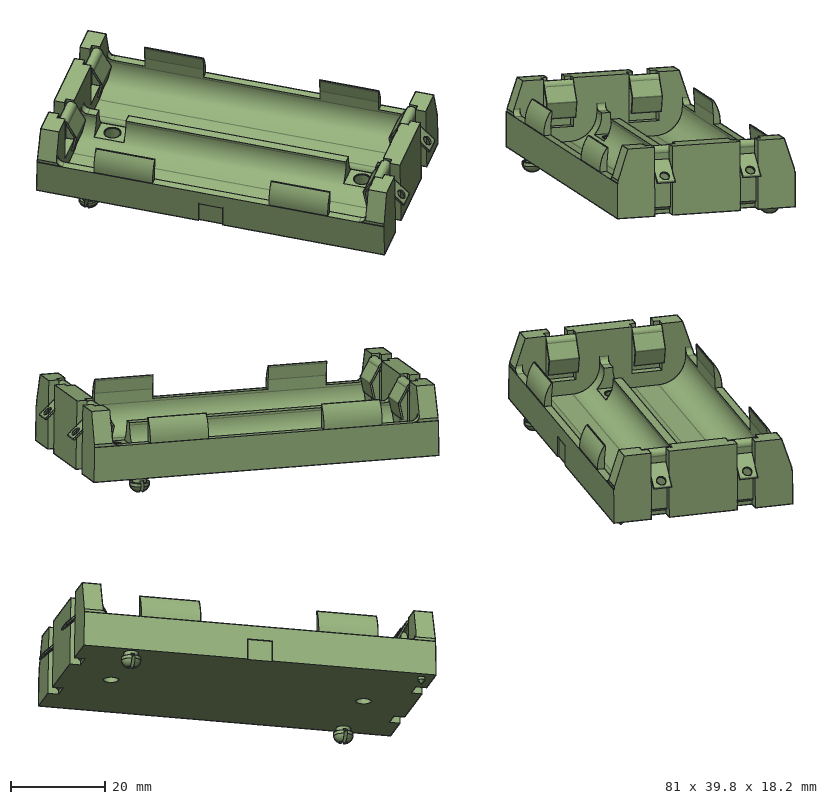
import cadquery as cq
import math


overall_length = 81.0
half_length = 38.6
overall_width = 39.8
half_width = overall_width / 2
rim_z = 7.6
top_z = 15.0
wall_inner_x = 34.3
wall_draft = 0.25
upper_inset = 0.2
corner_start_z = 8.3
corner_top_y = 17.5

cell_y = 9.55
trough_width = 17.2
floor_width = 5.3
floor_z = 1.1
wall_fillet = 1.4

mount_x = 27.7
pad_length = 6.6
pad_width = 5.3
pad_z = 3.0
mount_hole_diameter = 3.3
mount_chamfer = 0.2

recess_width = 5.35
recess_height = 4.5
recess_depth = 0.3

clip_x = 19.4
clip_length = 13.0
clip_top_z = 12.8
clip_inner_y = 18.15
clip_root = 0.4
clip_bend_z = 9.7
clip_tip_height = 0.3
clip_tip_y = 17.9
clip_tip_thickness = 0.25
clip_outer_radius = 8.4

tab_width = 4.0
spring_width = 6.65
slot_inner_x = 37.0
slot_foot_x = 36.3
slot_foot_z = 0.9
slot_foot_top_z = 1.5
notch_back_x = 36.1
notch_floor_z = 4.4
window_z = 10.7

sheet = 0.4
tab_hole_diameter = 2.0
tab_hole_x = 39.2
tab_end_x = overall_length / 2 - sheet / 2
tab_end_z = 7.7
leg_foot_z = 11.7
leg_top_z = 13.2
crown_x = 35.0
crown_z = 14.3
crown_end_x = 33.85
crown_end_z = 13.45
contact_x = 32.0
contact_z = 10.2
spring_end_x = 32.7
spring_end_z = 6.9

peg_y = 17.6
peg_neck_diameter = 3.15
peg_head_diameter = 4.2
peg_tip_diameter = 1.8
peg_head_top_z = -1.1
peg_head_edge_z = -1.9
peg_bottom_z = -3.2
peg_slot_width = 0.7
peg_slot_top_z = -0.65
pin_x = 36.0
pin_diameter = 1.5
pin_shoulder_z = -0.65
pin_tip_z = -1.5

upper_half_width = half_width - upper_inset
ends = (-1, 1)


def block(x0, x1, y0, y1, z0, z1):
    """Box between opposite corners; the X limits may come in either order."""
    size = (abs(x1 - x0), y1 - y0, z1 - z0)
    return cq.Workplane("XY").box(*size).translate(((x0 + x1) / 2, (y0 + y1) / 2, (z0 + z1) / 2))


def extrude_along_y(profile, length, y=0):
    """Extrude an XZ profile symmetrically about the given Y."""
    return profile.extrude(length / 2, both=True).translate((0, y, 0))


def make_housing():
    """Solid outer shape: drafted ends, inset end blocks and bevelled top corners."""
    side = (
        cq.Workplane("XZ")
        .moveTo(-half_length, 0)
        .lineTo(half_length, 0)
        .lineTo(half_length - wall_draft, top_z)
        .lineTo(wall_draft - half_length, top_z)
        .close()
    )
    end = (
        cq.Workplane("YZ")
        .moveTo(-half_width, 0)
        .lineTo(half_width, 0)
        .lineTo(half_width, rim_z)
        .lineTo(upper_half_width, rim_z)
        .lineTo(upper_half_width, corner_start_z)
        .lineTo(corner_top_y, top_z)
        .lineTo(-corner_top_y, top_z)
        .lineTo(-upper_half_width, corner_start_z)
        .lineTo(-upper_half_width, rim_z)
        .lineTo(-half_width, rim_z)
        .close()
        .extrude(half_length, both=True)
    )
    return extrude_along_y(side, 2 * half_width).intersect(end)


def space_above_rim():
    """Open space between the end walls, with concave fillets at their feet."""
    space = block(-wall_inner_x, wall_inner_x, -half_width, half_width, rim_z, top_z)
    return space.edges("|Y and <Z").fillet(wall_fillet)


def cell_trough(y):
    """Trough for one cell: a flat floor that curves up into vertical sides at the rim."""
    radius = (trough_width - floor_width) / 2
    side_y = trough_width / 2
    floor_y = floor_width / 2
    return (
        cq.Workplane("YZ")
        .moveTo(-floor_y, floor_z)
        .lineTo(floor_y, floor_z)
        .radiusArc((side_y, floor_z + radius), -radius)
        .lineTo(side_y, top_z)
        .lineTo(-side_y, top_z)
        .lineTo(-side_y, floor_z + radius)
        .radiusArc((-floor_y, floor_z), -radius)
        .close()
        .extrude(wall_inner_x, both=True)
        .translate((0, y, 0))
    )


def mount(x):
    """Pad pocket and through hole on the middle rib."""
    pad = block(x - pad_length / 2, x + pad_length / 2, -pad_width / 2, pad_width / 2, pad_z, rim_z)
    radius = mount_hole_diameter / 2
    hole = (
        cq.Workplane("XZ")
        .moveTo(0, 0)
        .lineTo(radius, 0)
        .lineTo(radius, pad_z - mount_chamfer)
        .lineTo(radius + mount_chamfer, pad_z)
        .lineTo(0, pad_z)
        .close()
        .revolve(360, (0, 0, 0), (0, 1, 0))
        .translate((x, 0, 0))
    )
    return pad.union(hole)


def contact_pocket(end, y):
    """Outer tab slot, inner spring notch and the window that joins them."""
    spring_y = (y - spring_width / 2, y + spring_width / 2)
    slot = (
        cq.Workplane("XZ")
        .moveTo(end * half_length, 0)
        .lineTo(end * slot_foot_x, 0)
        .lineTo(end * slot_foot_x, slot_foot_z)
        .lineTo(end * slot_inner_x, slot_foot_top_z)
        .lineTo(end * slot_inner_x, window_z)
        .lineTo(end * notch_back_x, window_z)
        .lineTo(end * notch_back_x, top_z)
        .lineTo(end * half_length, top_z)
        .close()
    )
    notch = block(end * wall_inner_x, end * notch_back_x, *spring_y, notch_floor_z, top_z)
    return extrude_along_y(slot, tab_width, y).union(notch)


def clip(side, x):
    """Hooked retaining clip that rises from the rim and leans over the cell."""
    profile = (
        cq.Workplane("YZ")
        .moveTo(side * clip_inner_y, rim_z - clip_root)
        .lineTo(side * upper_half_width, rim_z - clip_root)
        .lineTo(side * upper_half_width, rim_z)
        .radiusArc((side * (clip_tip_y + clip_tip_thickness), clip_top_z), -side * clip_outer_radius)
        .lineTo(side * clip_tip_y, clip_top_z)
        .lineTo(side * clip_tip_y, clip_top_z - clip_tip_height)
        .lineTo(side * clip_inner_y, clip_bend_z)
        .close()
    )
    return profile.extrude(clip_length / 2, both=True).translate((x, 0, 0))


def contact_spring(end, y):
    """Bent sheet contact: solder tab outside, wide spring hooked over the notch inside."""
    leg_x = notch_back_x - sheet / 2
    tab_run = tab_end_x - leg_x
    tab_drop = leg_foot_z - tab_end_z
    tab_angle = math.degrees(math.atan2(tab_drop, tab_run))
    tab = (
        cq.Workplane("XZ")
        .center(end * (leg_x + tab_run / 2), leg_foot_z - tab_drop / 2)
        .slot2D(math.hypot(tab_run, tab_drop) + sheet, sheet, -end * tab_angle)
    )
    spring = (
        cq.Workplane("XZ")
        .moveTo(end * leg_x, leg_foot_z)
        .lineTo(end * leg_x, leg_top_z)
        .threePointArc((end * crown_x, crown_z), (end * crown_end_x, crown_end_z))
        .lineTo(end * contact_x, contact_z)
        .lineTo(end * spring_end_x, spring_end_z)
        .offset2D(sheet / 2)
    )
    hole_z = tab_end_z + (tab_end_x - tab_hole_x) * tab_drop / tab_run
    hole = (
        cq.Workplane("XY")
        .circle(tab_hole_diameter / 2)
        .extrude(2 * sheet, both=True)
        .rotate((0, 0, 0), (0, 1, 0), end * tab_angle)
        .translate((end * tab_hole_x, y, hole_z))
    )
    return extrude_along_y(tab, tab_width, y).cut(hole).union(extrude_along_y(spring, spring_width, y))


def snap_peg(x, y):
    """Split peg under the base with a wider domed head."""
    neck_radius = peg_neck_diameter / 2
    head_radius = peg_head_diameter / 2
    peg = (
        cq.Workplane("XZ")
        .moveTo(0, 0)
        .lineTo(neck_radius, 0)
        .lineTo(neck_radius, peg_head_top_z)
        .lineTo(head_radius, peg_head_top_z)
        .lineTo(head_radius, peg_head_edge_z)
        .radiusArc((peg_tip_diameter / 2, peg_bottom_z), head_radius)
        .lineTo(0, peg_bottom_z)
        .close()
        .revolve(360, (0, 0, 0), (0, 1, 0))
    )
    slot = block(
        -peg_slot_width / 2, peg_slot_width / 2, -head_radius, head_radius, peg_bottom_z, peg_slot_top_z
    )
    return peg.cut(slot).translate((x, y, 0))


def polarity_pin(x, y):
    """Small pointed pin under one corner."""
    return (
        cq.Workplane("XZ")
        .moveTo(0, 0)
        .lineTo(pin_diameter / 2, 0)
        .lineTo(pin_diameter / 2, pin_shoulder_z)
        .lineTo(0, pin_tip_z)
        .close()
        .revolve(360, (0, 0, 0), (0, 1, 0))
        .translate((x, y, 0))
    )


result = make_housing().cut(space_above_rim())
for y in (-cell_y, cell_y):
    result = result.cut(cell_trough(y))
for end in ends:
    result = result.cut(mount(end * mount_x))
result = result.cut(
    block(-recess_width / 2, recess_width / 2, -half_width, recess_depth - half_width, 0, recess_height)
)
for end in ends:
    for side in ends:
        result = result.cut(contact_pocket(end, side * cell_y))
        result = result.union(contact_spring(end, side * cell_y))
        result = result.union(clip(side, end * clip_x))
    result = result.union(snap_peg(end * mount_x, end * peg_y))
result = result.union(polarity_pin(pin_x, -peg_y))